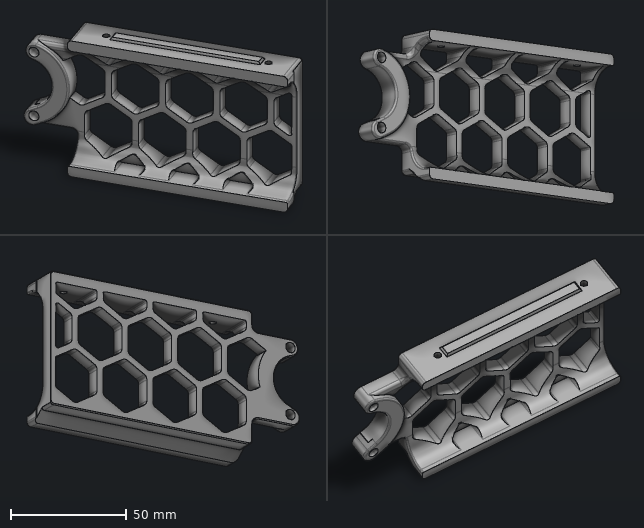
import cadquery as cq
import math


length = 125.6
body_left = 23.9
depth = 20.0
plate_top = 66.0
lip_thickness = 5.0
wall_thickness = 7.2
cove_radius = 10.9
back_bottom = 4.1
slope_start_depth = 8.5
slope_end_depth = 14.3
corner_radius = 2.0
upper_edge_radius = 2.0
lower_edge_radius = 0.8
back_chamfer = 0.5
end_step = 0.4
end_step_depth = 11.9
lip_ceiling = plate_top - lip_thickness
cove_depth = wall_thickness + cove_radius

ring_center = (1.1, 37.1)
ring_depth = 10.5
ring_edge_radius = 0.9
ear_radius = 4.0
bolt_x = 4.9
bolt_spacing = 30.9
bolt_diameter = 4.6
upper_bolt = (bolt_x, ring_center[1] + bolt_spacing / 2)
lower_bolt = (bolt_x, ring_center[1] - bolt_spacing / 2)
upper_ear = upper_bolt
lower_ear = (ear_radius, 20.7)
ring_mid_radius = math.dist(ring_center, upper_ear)
ring_outer_radius = ring_mid_radius + ear_radius
ring_inner_radius = ring_mid_radius - ear_radius
arm_top = upper_ear[1] + ear_radius
arm_bottom = lower_ear[1] - ear_radius
arm_corner_radius = 3.0
upper_ear_top = (upper_ear[0], arm_top)
lower_ear_bottom = (lower_ear[0], arm_bottom)

hex_pitch = 25.0
hex_rib = 3.1
hex_x = 25.5
hex_z = 41.1
hex_corner_radius = 2.5
border_corner_radius = 1.0
hex_right_limit = 122.8
hex_row_pitch = hex_pitch * math.sqrt(3) / 2
hex_flats = hex_pitch - hex_rib
pocket_depth_limit = 8.4

key_length = 69.4
key_width = 6.0
key_height = 1.0
key_taper = 40
key_x = 75.6
key_depth = 9.9
pin_diameter = 3.1
pin_spacing = 75.0


def front_prism(points, thickness):
    """Prism from (x, z) points, running from the back face toward the front."""
    return cq.Workplane("XZ").polyline(points).close().extrude(thickness)


def front_rectangle(left, right, bottom, top, thickness):
    return front_prism([(left, bottom), (right, bottom), (right, top), (left, top)], thickness)


def front_disc(center, radius, thickness):
    return cq.Workplane("XZ").center(*center).circle(radius).extrude(thickness)


def make_channel():
    """Wall with an upper and a lower lip, joined to it by quarter-round coves."""
    cove_mid = cove_depth - cove_radius * math.sqrt(0.5)
    cove_rise = cove_radius * (1 - math.sqrt(0.5))
    lower_mid = (-cove_mid, lip_thickness + cove_rise)
    upper_mid = (-cove_mid, lip_ceiling - cove_rise)
    return (
        cq.Workplane("YZ")
        .moveTo(0, back_bottom)
        .lineTo(-slope_start_depth, back_bottom)
        .lineTo(-slope_end_depth, 0)
        .lineTo(-depth, 0)
        .lineTo(-depth, lip_thickness)
        .lineTo(-cove_depth, lip_thickness)
        .threePointArc(lower_mid, (-wall_thickness, lip_thickness + cove_radius))
        .lineTo(-wall_thickness, lip_ceiling - cove_radius)
        .threePointArc(upper_mid, (-cove_depth, lip_ceiling))
        .lineTo(-depth, lip_ceiling)
        .lineTo(-depth, plate_top)
        .lineTo(0, plate_top)
        .close()
        .extrude(length)
    )


def make_outline():
    """Front outline: a tall rectangle for the channel and a narrower arm toward the ears."""
    body_box = front_rectangle(body_left, length, 0, plate_top, depth)
    arm_box = front_prism(
        [upper_ear_top, (body_left, arm_top), (body_left, arm_bottom), lower_ear_bottom],
        depth,
    )
    return body_box.union(arm_box)


def box_edges(part, low, high):
    """Edges whose middle lies in the box between two (x, y, z) corners."""
    margin = 0.06
    return part.edges(
        cq.selectors.BoxSelector(
            tuple(value - margin for value in low),
            tuple(value + margin for value in high),
        )
    )


def round_edges(part):
    """Round the ends of the plates and the front edges of the wall and the web."""
    arm_joint = box_edges(part, (body_left, -depth, arm_bottom), (body_left, 0, arm_top))
    part = arm_joint.edges("|Y").fillet(arm_corner_radius)
    for end_x in (body_left, length):
        part = box_edges(part, (end_x, -depth, plate_top), (end_x, 0, plate_top)).fillet(corner_radius)
        underside = box_edges(part, (end_x, -depth, 0), (end_x, 0, back_bottom)).edges("|Y")
        part = underside.fillet(corner_radius)
    front_y = -wall_thickness
    web_top = box_edges(part, (bolt_x, -depth, arm_top), (body_left, front_y, arm_top)).edges("|X")
    part = web_top.fillet(upper_edge_radius)
    web_bottom = box_edges(part, (lower_ear[0], front_y, arm_bottom), (body_left, front_y, arm_bottom))
    part = web_bottom.fillet(lower_edge_radius)
    wall_end = box_edges(part, (length, front_y, arm_bottom), (length, front_y, arm_top))
    return wall_end.fillet(lower_edge_radius)


def direction(angle):
    """Unit vector at an angle measured from +X toward +Z."""
    return cq.Vector(math.cos(angle), math.sin(angle))


def make_ring():
    """Band of constant width with round ends: an arc about the clamp, then a short straight leg."""
    center = cq.Vector(*ring_center)
    top_end = cq.Vector(*upper_ear)
    leg_end = cq.Vector(*lower_ear)
    to_top = top_end - center
    to_leg = leg_end - center
    top_angle = math.atan2(to_top.y, to_top.x)
    leg_angle = math.atan2(to_leg.y, to_leg.x) + math.acos(ring_mid_radius / to_leg.Length)
    top_side = direction(top_angle)
    leg_side = direction(leg_angle)
    middle = direction((top_angle + leg_angle) / 2)
    top_inner = top_end - top_side * ear_radius
    top_outer = top_end + top_side * ear_radius
    top_tip = top_end + direction(top_angle + math.pi / 2) * ear_radius
    leg_inner = leg_end - leg_side * ear_radius
    leg_outer = leg_end + leg_side * ear_radius
    leg_tip = leg_end + direction(leg_angle - math.pi / 2) * ear_radius
    arc_inner_end = center + leg_side * ring_inner_radius
    ring = (
        cq.Workplane("XZ")
        .moveTo(top_inner.x, top_inner.y)
        .threePointArc(top_tip, top_outer)
        .threePointArc(center + middle * ring_outer_radius, center + leg_side * ring_outer_radius)
        .lineTo(leg_outer.x, leg_outer.y)
        .threePointArc(leg_tip, leg_inner)
        .lineTo(arc_inner_end.x, arc_inner_end.y)
        .threePointArc(center + middle * ring_inner_radius, top_inner)
        .close()
        .extrude(ring_depth)
    )
    return ring.faces("<Y").edges().fillet(ring_edge_radius)


def make_cell(x, z):
    """Rounded hexagonal prism, trimmed to the lips and to the right-hand border."""
    hexagon = (
        cq.Workplane("XZ")
        .polygon(6, hex_flats / math.cos(math.pi / 6))
        .extrude(depth)
        .edges("|Y")
        .fillet(hex_corner_radius)
        .rotate((0, 0, 0), (0, 1, 0), 30)
        .translate((x, 0, z))
    )
    cell = hexagon.intersect(front_rectangle(0, hex_right_limit, lip_thickness, lip_ceiling, depth))
    for axis, border in ((0, hex_right_limit), (2, lip_thickness), (2, lip_ceiling)):
        low = [0, -depth, 0]
        high = [length, 0, plate_top]
        low[axis] = border
        high[axis] = border
        corners = box_edges(cell, low, high).edges("|Y")
        if corners.size() > 0:
            cell = corners.fillet(border_corner_radius)
    return cell


def cut_honeycomb(part):
    """Three rows through the wall, and a row of blind pockets along the lower cove."""
    ring_guard = front_disc(ring_center, ring_outer_radius, depth)
    pocket_back = front_rectangle(0, length, 0, plate_top, pocket_depth_limit)
    pocket_row = -2
    rows = [(1, 1, 4), (0, 0, 5), (-1, 1, 4), (pocket_row, 2, 3)]
    for row, first_half_pitch, count in rows:
        z = hex_z + row * hex_row_pitch
        for column in range(count):
            x = hex_x + (first_half_pitch / 2 + column) * hex_pitch
            cell = make_cell(x, z).cut(ring_guard)
            if row == pocket_row:
                cell = cell.cut(pocket_back)
            part = part.cut(cell)
    return part


def make_key():
    """Long raised bar with sloping sides on the top plate."""
    return (
        cq.Workplane("XY", origin=(key_x, -key_depth, plate_top))
        .rect(key_length, key_width)
        .extrude(key_height, taper=key_taper)
    )


def make_pin_holes():
    """Two holes through the top plate, one beyond each end of the key."""
    return (
        cq.Workplane("XY", origin=(key_x, -key_depth, lip_ceiling))
        .rarray(pin_spacing, 1.3, 2, 1)
        .circle(pin_diameter / 2)
        .extrude(lip_thickness)
    )


body = round_edges(make_channel().intersect(make_outline()))
body = body.cut(front_disc(ring_center, ring_inner_radius, depth)).union(make_ring())
body = body.faces(">Y").edges().chamfer(back_chamfer)
body = cut_honeycomb(body)
body = body.union(make_key()).cut(make_pin_holes())
for bolt in (upper_bolt, lower_bolt):
    body = body.cut(front_disc(bolt, bolt_diameter / 2, depth))
result = body.cut(front_rectangle(length - end_step, length, 0, plate_top, end_step_depth))